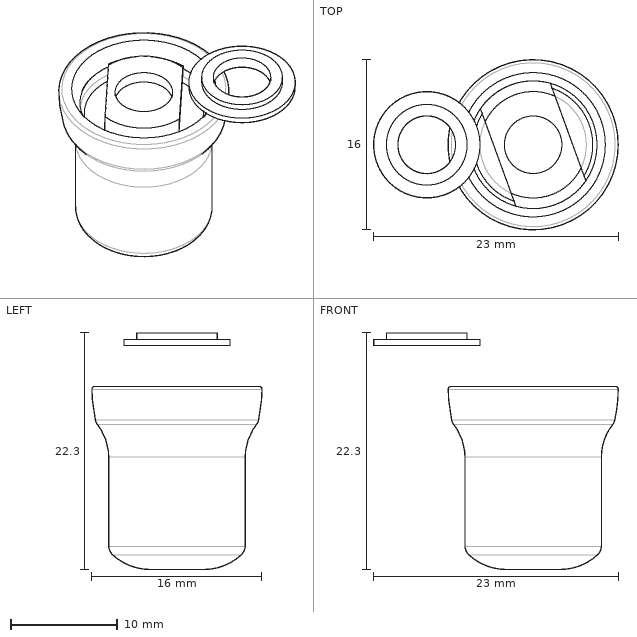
import cadquery as cq

cup_height = 17.23
rim_radius = 8.0
rim_round = 0.3
barrel_radius = 12.85 / 2
barrel_bottom = 2.16
neck_bottom = 10.6
neck_top = (7.48, 13.62)
head_bottom = (7.68, 14.05)
bottom_flat_radius = 2.53
bottom_edge = (6.03, 1.35)

cavity_radius = 11.2 / 2
cavity_floor = 1.5
floor_fillet = 0.6
mouth_radius = 6.78
lip_radius = 6.0
mouth_depth = 1.75
groove_width = 1.01
groove_depth = 0.2
bevel_depth = 0.32

plate_thickness = 1.2
plate_drop = 0.4
plate_radius = 6.0
plate_top_radius = 10.0 / 2
plate_bevel_depth = plate_radius - plate_top_radius
plate_width = 7.0
plate_turn = 20.0

overall_length = 23.0
ring_bottom = 21.05
ring_flange_diameter = 10.0
ring_collar_diameter = 7.6
ring_step = 0.6

hole_diameter = 5.4

ring_offset = overall_length - rim_radius - ring_flange_diameter / 2
plate_top = cup_height - plate_drop
plate_bottom = plate_top - plate_thickness
lip_height = cup_height - mouth_depth
groove_bottom = lip_height - groove_width


def make_cup_blank():
    """Solid of revolution with a rounded base, a flared neck and a bulged head."""
    return (
        cq.Workplane("XZ")
        .lineTo(bottom_flat_radius, 0)
        .tangentArcPoint(bottom_edge, relative=False)
        .tangentArcPoint((barrel_radius, barrel_bottom), relative=False)
        .lineTo(barrel_radius, neck_bottom)
        .tangentArcPoint(neck_top, relative=False)
        .tangentArcPoint(head_bottom, relative=False)
        .tangentArcPoint((rim_radius, cup_height - rim_round), relative=False)
        .tangentArcPoint((rim_radius - rim_round, cup_height), relative=False)
        .lineTo(0, cup_height)
        .close()
        .revolve(360, (0, 0), (0, 1))
    )


def make_cavity():
    """Tapered mouth, round groove and straight bore with a rounded floor corner."""
    groove_middle = (lip_radius + groove_depth, lip_height - groove_width / 2)
    return (
        cq.Workplane("XZ")
        .moveTo(0, cavity_floor)
        .lineTo(cavity_radius - floor_fillet, cavity_floor)
        .tangentArcPoint((floor_fillet, floor_fillet))
        .lineTo(cavity_radius, groove_bottom - bevel_depth)
        .lineTo(lip_radius, groove_bottom)
        .threePointArc(groove_middle, (lip_radius, lip_height))
        .lineTo(mouth_radius, cup_height)
        .lineTo(0, cup_height)
        .close()
        .revolve(360, (0, 0), (0, 1))
    )


def make_cup():
    return make_cup_blank().cut(make_cavity())


def make_plate():
    """Bevelled disc with a central hole and two parallel flats."""
    disc = (
        cq.Workplane("XZ")
        .moveTo(0, plate_bottom)
        .lineTo(plate_radius, plate_bottom)
        .lineTo(plate_radius, plate_top - plate_bevel_depth)
        .lineTo(plate_top_radius, plate_top)
        .lineTo(0, plate_top)
        .close()
        .revolve(360, (0, 0), (0, 1))
    )
    flats = (
        cq.Workplane("XY", origin=(0, 0, plate_bottom))
        .rect(plate_width, 2 * plate_radius)
        .circle(hole_diameter / 2)
        .extrude(plate_thickness)
        .rotate((0, 0, 0), (0, 0, 1), plate_turn)
    )
    return disc.intersect(flats)


def make_ring():
    """Flange with a smaller collar on top and a hole through both."""
    return (
        cq.Workplane("XY", origin=(-ring_offset, 0, ring_bottom))
        .circle(ring_flange_diameter / 2)
        .extrude(ring_step)
        .faces(">Z")
        .workplane()
        .circle(ring_collar_diameter / 2)
        .extrude(ring_step)
        .faces(">Z")
        .workplane()
        .hole(hole_diameter)
    )


cup = make_cup()
plate = make_plate()
ring = make_ring()

result = cq.Compound.makeCompound([cup.val(), plate.val(), ring.val()])